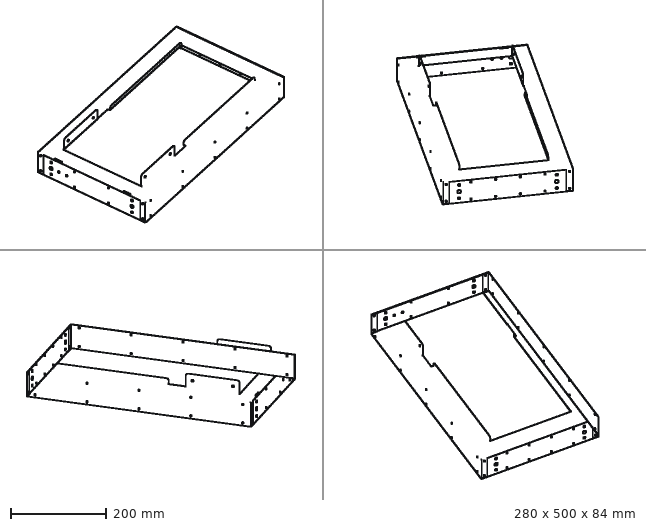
import cadquery as cq

sheet = 1.0
bend_inner = 0.5
bend_outer = bend_inner + sheet

width = 280.0
length = 500.0
body_height = 55.0
total_height = 84.0

flange_reach = 15.0
wall_length = length - 2 * sheet
panel_width = width - 2 * bend_outer
top_lip = 5.0

tab_radius = 6.0
tab_overlap = 5.0
tall_tab_face = 99.0
tall_tab_front = -210.0
tall_tab_length = 120.0
tall_tab_back = tall_tab_front + tall_tab_length
low_tab_face = 94.5
low_tab_front = -51.0
low_tab_back = 205.0
low_tab_top = 65.0

relief_width = 1.0
relief_reach = 1.0
wide_half_width = tall_tab_face + bend_outer
narrow_half_width = low_tab_face + bend_outer
opening_front = tall_tab_front - relief_width
opening_back = low_tab_back + relief_width

slot_length = 18.0
slot_width = 3.0
slot_x = 89.0
slot_y = -246.0

rivet_diameter = 3.25
rivet_margin = 6.5
rivet_rows = (rivet_margin, body_height - rivet_margin)
end_rivet_span = 264.0
front_rivet_count = 4
back_rivet_count = 6
side_rivet_span = 462.0
side_rivet_count = 5

mount_diameter = 8.0
mount_x = 104.5
pilot_diameter = 5.0
pilot_offset = 16.5
feed_diameter = 4.5
feed_x = (-84.5, -64.5)
mount_height = body_height / 2

tab_hole_diameter = 4.5
tab_hole_margin = 15.0
tab_hole_y = (tall_tab_front + tab_hole_margin, tall_tab_back - tab_hole_margin)
tab_hole_z = 69.0


def block(x_range, y_range, z_range):
    """Box between the given limits along each axis."""
    sizes = [high - low for low, high in (x_range, y_range, z_range)]
    corner = (x_range[0], y_range[0], z_range[0])
    return cq.Workplane("XY").box(*sizes, centered=False).translate(corner)


def rounded_cap(half_x, half_y, bottom, top, radius):
    """Block with rounded vertical edges and a rounded top rim."""
    cap = block((-half_x, half_x), (-half_y, half_y), (bottom, top))
    return cap.edges("|Z").fillet(radius).faces(">Z").edges().fillet(radius)


def side_shell():
    """Top plate with the side walls and their corner flanges."""
    half_x = width / 2
    half_y = wall_length / 2
    outer = rounded_cap(half_x, half_y, 0, body_height, bend_outer)
    inner = rounded_cap(half_x - sheet, half_y - sheet, 0, body_height - sheet, bend_inner)
    shell = outer.cut(inner)
    flange_gap = width / 2 - flange_reach
    open_end = block((-flange_gap, flange_gap), (-half_y, half_y), (0, body_height - bend_outer))
    return shell.cut(open_end)


def end_panel():
    """Front panel folded down from the top plate."""
    half_x = panel_width / 2
    front = -length / 2
    lip_end = front + top_lip
    outer = block((-half_x, half_x), (front, lip_end), (0, body_height))
    outer = outer.edges("<Y and >Z").fillet(bend_outer)
    inner = block((-half_x, half_x), (front + sheet, lip_end), (0, body_height - sheet))
    return outer.cut(inner.edges("<Y and >Z").fillet(bend_inner))


def upright_tab(face, front, back, top):
    """Tab on the +X side, with a bend that turns up out of the top plate."""
    plate_bottom = body_height - sheet
    root = face + bend_outer + tab_overlap
    profile = (
        cq.Workplane("XZ")
        .moveTo(face, top)
        .lineTo(face, plate_bottom + bend_outer)
        .radiusArc((face + bend_outer, plate_bottom), -bend_outer)
        .lineTo(root, plate_bottom)
        .lineTo(root, body_height)
        .lineTo(face + bend_outer, body_height)
        .radiusArc((face + sheet, body_height + bend_inner), bend_inner)
        .lineTo(face + sheet, top)
        .close()
    )
    tab = profile.extrude(back - front).translate((0, back, 0))
    return tab.edges("|X and >Z").fillet(tab_radius)


def holes_along_y(points, diameter, y_range):
    """Cutters along Y at the given (x, z) points."""
    start, end = y_range
    cutters = cq.Workplane("XZ", origin=(0, start, 0)).pushPoints(points)
    return cutters.circle(diameter / 2).extrude(start - end)


def holes_along_x(points, diameter):
    """Cutters along X through the whole part at the given (y, z) points."""
    cutters = cq.Workplane("YZ").pushPoints(points)
    return cutters.circle(diameter / 2).extrude(width, both=True)


def rivet_points(count, span):
    """Lower and upper rows of evenly spaced rivet positions, centred on the wall."""
    pitch = span / (count - 1)
    return [(i * pitch - span / 2, z) for i in range(count) for z in rivet_rows]


front_panel = end_panel()
result = side_shell().union(front_panel).union(front_panel.mirror("XZ"))

plate_depth = (body_height - sheet, body_height)
wide_x = (-wide_half_width, wide_half_width)
narrow_x = (-narrow_half_width, narrow_half_width)
result = result.cut(block(wide_x, (opening_front, low_tab_front), plate_depth))
result = result.cut(block(narrow_x, (low_tab_front, opening_back), plate_depth))

notch_half_width = wide_half_width + relief_reach
for notch_front in (opening_front, tall_tab_back):
    notch_y = (notch_front, notch_front + relief_width)
    result = result.cut(block((-notch_half_width, notch_half_width), notch_y, plate_depth))

tabs = (
    (tall_tab_face, tall_tab_front, tall_tab_back, total_height),
    (low_tab_face, low_tab_front, low_tab_back, low_tab_top),
)
for face, front, back, top in tabs:
    tab = upright_tab(face, front, back, top)
    result = result.union(tab).union(tab.mirror("YZ"))

for x in (-slot_x, slot_x):
    slot_x_range = (x - slot_length / 2, x + slot_length / 2)
    slot_y_range = (slot_y - slot_width / 2, slot_y + slot_width / 2)
    result = result.cut(block(slot_x_range, slot_y_range, plate_depth))

front_half = (-length / 2, 0)
back_half = (0, length / 2)
front_rivets = rivet_points(front_rivet_count, end_rivet_span)
back_rivets = rivet_points(back_rivet_count, end_rivet_span)
side_rivets = rivet_points(side_rivet_count, side_rivet_span)
result = result.cut(holes_along_y(front_rivets, rivet_diameter, front_half))
result = result.cut(holes_along_y(back_rivets, rivet_diameter, back_half))
result = result.cut(holes_along_x(side_rivets, rivet_diameter))

full_length = (-length / 2, length / 2)
mounts = [(x, mount_height) for x in (-mount_x, mount_x)]
pilots = [(x, z + offset) for x, z in mounts for offset in (-pilot_offset, pilot_offset)]
result = result.cut(holes_along_y(mounts, mount_diameter, full_length))
result = result.cut(holes_along_y(pilots, pilot_diameter, full_length))

feeds = [(x, mount_height) for x in feed_x]
result = result.cut(holes_along_y(feeds, feed_diameter, front_half))

tab_holes = [(y, tab_hole_z) for y in tab_hole_y]
result = result.cut(holes_along_x(tab_holes, tab_hole_diameter))